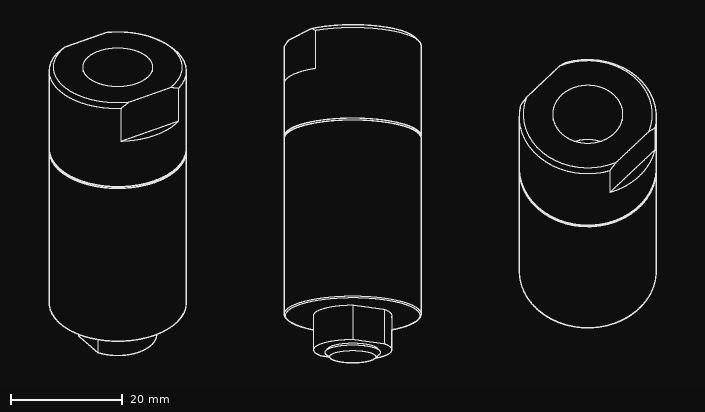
import cadquery as cq

total_height = 58.4
body_diameter = 24.55
body_radius = body_diameter / 2
body_bottom = 7.65
top_chamfer = 0.75
bottom_chamfer = 0.25

seam_top = 40.9
seam_width = 0.35
seam_depth = 0.1

cap_flat_width = 21.25
cap_flat_height = 7.75

stem_diameter = 14
stem_flat_width = 12.5
stem_bottom = 1.3

tip_diameter = 9.95
tip_end_diameter = 8.3
tip_neck_diameter = 9.1
tip_widest_height = 0.8

bore_diameter = 12.5
bore_depth = total_height - seam_top
inner_bore_diameter = 6.35
inner_bore_depth = 5.85


def cylinder(diameter, bottom, top):
    return cq.Workplane("XY").workplane(offset=bottom).circle(diameter / 2).extrude(top - bottom)


def flatted(solid, x_width, y_width, bottom, top):
    """Keep only the part of the solid inside a centered rectangular prism."""
    prism = cq.Workplane("XY").workplane(offset=bottom).rect(x_width, y_width).extrude(top - bottom)
    return solid.intersect(prism)


def make_body():
    body = cylinder(body_diameter, body_bottom, total_height)
    body = body.faces(">Z").chamfer(top_chamfer)
    body = body.faces("<Z").chamfer(bottom_chamfer)
    seam_bottom = seam_top - seam_width
    seam = cylinder(body_diameter, seam_bottom, seam_top).cut(
        cylinder(body_diameter - 2 * seam_depth, seam_bottom, seam_top)
    )
    body = body.cut(seam)
    flat_bottom = total_height - cap_flat_height
    lower = flatted(body, body_diameter, body_diameter, body_bottom, flat_bottom)
    cap = flatted(body, cap_flat_width, body_diameter, flat_bottom, total_height)
    return lower.union(cap)


def make_stem():
    stem = cylinder(stem_diameter, stem_bottom, body_bottom)
    return flatted(stem, stem_diameter, stem_flat_width, stem_bottom, body_bottom)


def make_tip():
    return (
        cq.Workplane("XZ")
        .lineTo(tip_end_diameter / 2, 0)
        .lineTo(tip_diameter / 2, tip_widest_height)
        .lineTo(tip_neck_diameter / 2, stem_bottom)
        .lineTo(0, stem_bottom)
        .close()
        .revolve(360, (0, 0), (0, 1))
    )


bore_floor = total_height - bore_depth
bore = cylinder(bore_diameter, bore_floor, total_height)
inner_bore = cylinder(inner_bore_diameter, bore_floor - inner_bore_depth, bore_floor)

result = make_body().union(make_stem()).union(make_tip()).cut(bore).cut(inner_bore)